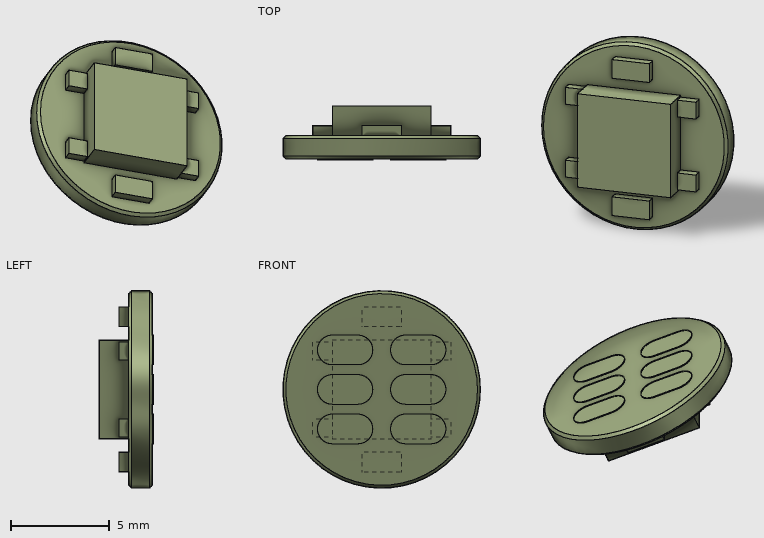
import cadquery as cq

board_diameter = 10.0
board_thickness = 1.2
board_chamfer = 0.15

pad_length = 2.8
pad_width = 1.5
pad_height = 0.05
pad_column_pitch = 3.7
pad_row_pitch = 2.0
pad_columns = 2
pad_rows = 3

main_side = 5.0
main_height = 1.5

small_height = 0.5
end_length = 2.0
end_width = 1.0
end_center_z = 3.675
side_length = 1.0
side_width = 0.9
side_center_x = (main_side + side_length) / 2
side_center_z = 1.95


def make_board():
    board = cq.Workplane("XZ").circle(board_diameter / 2).extrude(-board_thickness)
    return board.faces("<Y or >Y").chamfer(board_chamfer)


def make_pads():
    return (
        cq.Workplane("XZ")
        .rarray(pad_column_pitch, pad_row_pitch, pad_columns, pad_rows)
        .slot2D(pad_length, pad_width)
        .extrude(pad_height)
    )


def make_component(size_x, size_z, height, center_x=0.0, center_z=0.0):
    back_face = cq.Workplane("XZ", origin=(0, board_thickness, 0))
    return back_face.center(center_x, center_z).rect(size_x, size_z).extrude(-height)


result = make_board().union(make_pads())
result = result.union(make_component(main_side, main_side, main_height))

for z_sign in (-1, 1):
    end_component = make_component(
        end_length, end_width, small_height, center_z=z_sign * end_center_z
    )
    result = result.union(end_component)
    for x_sign in (-1, 1):
        side_component = make_component(
            side_length, side_width, small_height, x_sign * side_center_x, z_sign * side_center_z
        )
        result = result.union(side_component)